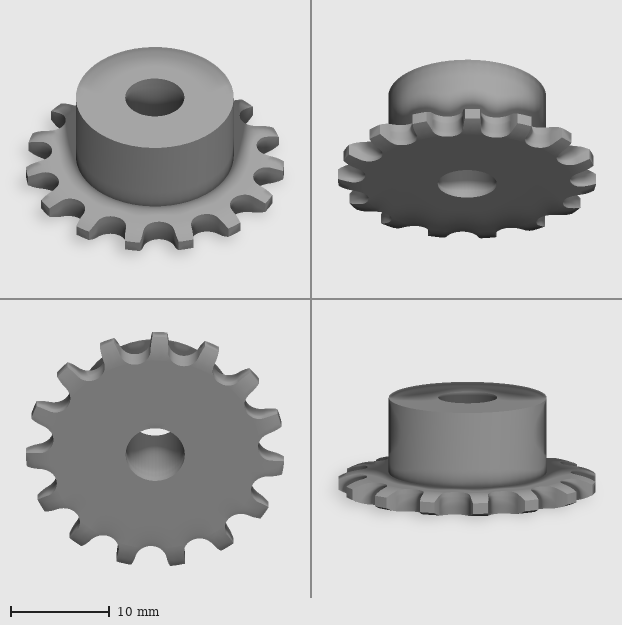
import cadquery as cq
import math

tooth_count = 15
chain_pitch = 5.0
tip_diameter = 26.2
plate_thickness = 2.3
crown_width = 2.38
crown_radius = chain_pitch

seat_radius = 1.6
seat_half_angle = 78.0
flank_radius = 6.55
tip_clearance = 0.25

hub_diameter = 16.0
bore_diameter = 6.0
total_height = 10.0

tooth_angle = 360 / tooth_count
pitch_radius = chain_pitch / (2 * math.sin(math.radians(tooth_angle / 2)))
tip_radius = tip_diameter / 2
gap_outer_radius = tip_radius + tip_clearance


def make_blank():
    """Solid disc whose rim is rounded on both faces, before the gaps are cut."""
    flat_radius = tip_radius - crown_width
    crown_drop = crown_radius - math.sqrt(crown_radius**2 - crown_width**2)
    half_run = crown_width / 2
    half_drop = crown_radius - math.sqrt(crown_radius**2 - half_run**2)
    return (
        cq.Workplane("XZ")
        .lineTo(flat_radius, 0)
        .threePointArc((flat_radius + half_run, half_drop), (tip_radius, crown_drop))
        .lineTo(tip_radius, plate_thickness - crown_drop)
        .threePointArc(
            (flat_radius + half_run, plate_thickness - half_drop),
            (flat_radius, plate_thickness),
        )
        .lineTo(0, plate_thickness)
        .close()
        .revolve(360, (0, 0, 0), (0, 1, 0))
    )


def make_gap():
    """Cutter for one tooth gap on the +X axis: roller seat arc and two convex flank arcs."""
    angle = math.radians(seat_half_angle)
    seat_end_x = pitch_radius - seat_radius * math.cos(angle)
    seat_end_y = seat_radius * math.sin(angle)

    flank_x = pitch_radius - (seat_radius + flank_radius) * math.cos(angle)
    flank_y = (seat_radius + flank_radius) * math.sin(angle)

    def flank_point(x):
        return x, flank_y - math.sqrt(flank_radius**2 - (x - flank_x) ** 2)

    middle_x, middle_y = flank_point((seat_end_x + gap_outer_radius) / 2)
    outer_x, outer_y = flank_point(gap_outer_radius)
    return (
        cq.Workplane("XY")
        .moveTo(outer_x, -outer_y)
        .threePointArc((middle_x, -middle_y), (seat_end_x, -seat_end_y))
        .threePointArc((pitch_radius - seat_radius, 0), (seat_end_x, seat_end_y))
        .threePointArc((middle_x, middle_y), (outer_x, outer_y))
        .close()
        .extrude(plate_thickness)
    )


def cut_gaps(blank):
    """Cut the gaps so that one tooth is centred on the +Y axis."""
    gap = make_gap()
    for index in range(tooth_count):
        gap_angle = 90 + (index + 0.5) * tooth_angle
        blank = blank.cut(gap.rotate((0, 0, 0), (0, 0, 1), gap_angle))
    return blank


sprocket = cut_gaps(make_blank())
hub = cq.Workplane("XY").circle(hub_diameter / 2).extrude(total_height)
bore = cq.Workplane("XY").circle(bore_diameter / 2).extrude(total_height)
result = sprocket.union(hub).cut(bore)